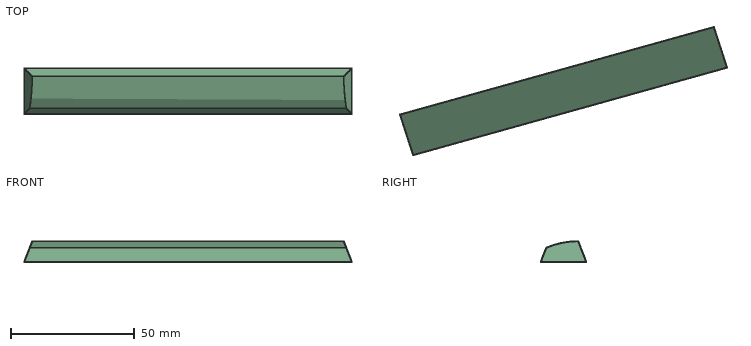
import cadquery as cq
import math

length = 133.2
width = 18.7
height = 8.5

wall_inset = 3.3
wall_angle = math.degrees(math.atan(wall_inset / height))

top_radius = 33.0
back_edge_y = width / 2 - wall_inset


def make_tapered_block():
    """Rectangular block on Z = 0 whose four walls lean inward."""
    return cq.Workplane("XY").rect(length, width).extrude(height, taper=wall_angle)


def make_top_cylinder():
    """Cylinder along X whose crest lies on the back top edge."""
    return (
        cq.Workplane("YZ")
        .center(back_edge_y, height - top_radius)
        .circle(top_radius)
        .extrude(length / 2, both=True)
    )


def make_bar_cap():
    """Tapered block trimmed to the curved top face."""
    return make_tapered_block().intersect(make_top_cylinder()).solids()


bar_cap = make_bar_cap()

result = cq.Compound.makeCompound([bar_cap.val()])